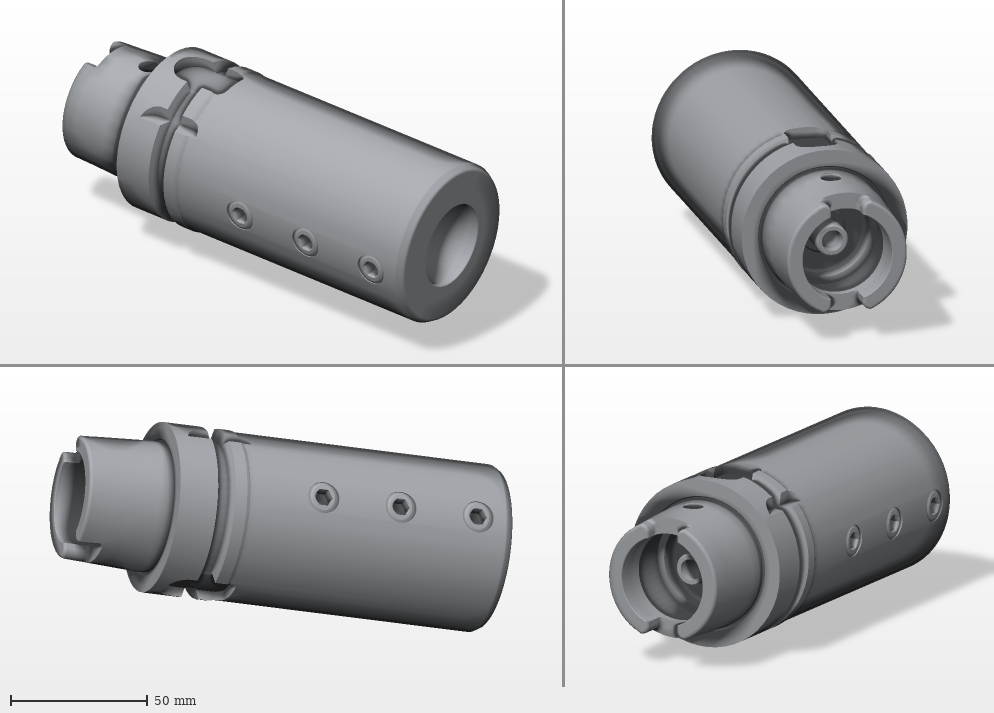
import cadquery as cq
import math


SHANK_END_X = -32.0
GAUGE_X = -6.3
GAUGE_DIA = 48.0
TAPER_RATIO = 0.1
END_ROUND = 1.2
RELIEF_DIA = 48.0
RELIEF_LENGTH = 1.9
RELIEF_RAMP = 1.3
RELIEF_BLEND = 2.0
FACE_RECESS_DIA = 50.7
FACE_RECESS_DEPTH = 0.5

FLANGE_DIA = 63.0
FLANGE_LENGTH = 26.0
FLANGE_RUNOUT = 1.3
GROOVE_DIA = 55.0
GROOVE_CENTER_X = 18.05
GROOVE_FLOOR_WIDTH = 3.9
GROOVE_MOUTH_WIDTH = 6.8
BODY_DIA = 62.0
BODY_END_X = 130.0
NOSE_LENGTH = 2.8
NOSE_ANGLE = 30.0
NOSE_ROUND = 1.2
NOSE_BLEND = 1.0

MOUTH_DIA = 34.0
MOUTH_CHAMFER = 0.25
MOUTH_END_X = -19.3
CLAMP_DIA = 40.0
CLAMP_END_X = 0.0
CLAMP_ANGLE = 60.0
CAVITY_FLOOR_X = 7.0
CAVITY_BASE_DIA = 34.5
CAVITY_FLOOR_ROUND = 1.3

NUT_DIA = 18.0
NUT_HEIGHT = 4.0
NUT_CHAMFER = 0.8
TUBE_DIA = 12.0
TUBE_TIP_X = -11.0
TUBE_CHAMFER = 0.6
COOLANT_DIA = 8.0

TOOL_BORE_DIA = 32.0
TOOL_BORE_DEPTH = 90.0
TOOL_BORE_CHAMFER = 0.2

SLOT_HALF_WIDTH = 6.0
SLOT_SHOULDER_Z = 20.8
SLOT_FLARE_RADIUS = 3.0
SLOT_FLOOR_ROUND = 1.3
UPPER_SLOT_DEPTH = 6.0
LOWER_SLOT_DEPTH = 9.7

KEYWAY_START_X = 4.8
KEYWAY_END_X = 30.3
KEYWAY_CORNER_RADIUS = 3.5
KEYWAY_FLOOR_Z = 26.5
UPPER_KEYWAY_WIDTH = 16.0
LOWER_KEYWAY_WIDTH = 18.0
KEYWAY_START_RADIUS = 7.5
NOTCH_OFFSET = 19.85

ACCESS_X = -8.9
ACCESS_DIA = 7.5
ACCESS_MOUTH_DIA = 8.5
ACCESS_MOUTH_RUNOUT = 1.0

SCREW_FIRST_X = 56.0
SCREW_PITCH = 30.0
SCREW_COUNT = 3
SCREW_DIA = 12.0
SCREW_FACE_DIA = 8.5
SCREW_BEVEL_DEPTH = 1.0
SOCKET_FLATS = 6.0
SOCKET_DEPTH = 5.0
SOCKET_TIP_ANGLE = 118.0

EDGE_BAND = 0.1
CLEAR = 10.0


def taper_radius(x):
    return (GAUGE_DIA + TAPER_RATIO * (x - GAUGE_X)) / 2


def revolve_about_axis(points):
    profile = cq.Workplane("XY").polyline(points).close()
    return profile.revolve(360, (0, 0, 0), (1, 0, 0))


def rod(diameter, start_x, end_x):
    return cq.Workplane("YZ", origin=(start_x, 0, 0)).circle(diameter / 2).extrude(end_x - start_x)


def shank():
    solid = revolve_about_axis([
        (SHANK_END_X, 0),
        (SHANK_END_X, taper_radius(SHANK_END_X)),
        (-RELIEF_LENGTH, taper_radius(-RELIEF_LENGTH)),
        (-RELIEF_LENGTH + RELIEF_RAMP, RELIEF_DIA / 2),
        (FACE_RECESS_DEPTH, RELIEF_DIA / 2),
        (FACE_RECESS_DEPTH, 0),
    ])
    ramp_edges = cq.selectors.BoxSelector(
        (-RELIEF_LENGTH - EDGE_BAND, -RELIEF_DIA, -RELIEF_DIA),
        (-RELIEF_LENGTH + RELIEF_RAMP + EDGE_BAND, RELIEF_DIA, RELIEF_DIA),
        boundingbox=True,
    )
    return solid.edges(ramp_edges).fillet(RELIEF_BLEND)


def flange_and_body():
    flange_r = FLANGE_DIA / 2
    body_r = BODY_DIA / 2
    groove_r = GROOVE_DIA / 2
    half_mouth = GROOVE_MOUTH_WIDTH / 2
    half_floor = GROOVE_FLOOR_WIDTH / 2
    recess_r = FACE_RECESS_DIA / 2
    nose_r = body_r - NOSE_LENGTH * math.tan(math.radians(NOSE_ANGLE))
    solid = revolve_about_axis([
        (FACE_RECESS_DEPTH, 0),
        (FACE_RECESS_DEPTH, recess_r - FACE_RECESS_DEPTH),
        (0, recess_r),
        (0, flange_r),
        (GROOVE_CENTER_X - half_mouth, flange_r),
        (GROOVE_CENTER_X - half_floor, groove_r),
        (GROOVE_CENTER_X + half_floor, groove_r),
        (GROOVE_CENTER_X + half_mouth, flange_r),
        (FLANGE_LENGTH, flange_r),
        (FLANGE_LENGTH + FLANGE_RUNOUT, body_r),
        (BODY_END_X - NOSE_LENGTH, body_r),
        (BODY_END_X, nose_r),
        (BODY_END_X, 0),
    ])
    nose_start_x = BODY_END_X - NOSE_LENGTH
    nose_start_edge = cq.selectors.BoxSelector(
        (nose_start_x - EDGE_BAND, -FLANGE_DIA, -FLANGE_DIA),
        (nose_start_x + EDGE_BAND, FLANGE_DIA, FLANGE_DIA),
        boundingbox=True,
    )
    solid = solid.edges(nose_start_edge).fillet(NOSE_BLEND)
    return solid.faces(">X").edges().fillet(NOSE_ROUND)


def drive_slot(depth, side):
    """Slot cutter with rounded floor and mouth; side is +1 for +Z and -1 for -Z."""
    flare_start_z = SLOT_SHOULDER_Z - SLOT_FLARE_RADIUS
    flare_y = SLOT_HALF_WIDTH + SLOT_FLARE_RADIUS
    arc_shift = SLOT_FLARE_RADIUS * math.sqrt(0.5)
    arc_mid = (flare_y - arc_shift, flare_start_z + arc_shift)
    outer_z = FLANGE_DIA / 2
    outer_y = outer_z
    cutter = (
        cq.Workplane("YZ", origin=(SHANK_END_X - CLEAR, 0, 0))
        .moveTo(-SLOT_HALF_WIDTH, 0)
        .lineTo(SLOT_HALF_WIDTH, 0)
        .lineTo(SLOT_HALF_WIDTH, flare_start_z)
        .threePointArc(arc_mid, (flare_y, SLOT_SHOULDER_Z))
        .lineTo(outer_y, SLOT_SHOULDER_Z)
        .lineTo(outer_y, outer_z)
        .lineTo(-outer_y, outer_z)
        .lineTo(-outer_y, SLOT_SHOULDER_Z)
        .lineTo(-flare_y, SLOT_SHOULDER_Z)
        .threePointArc((-arc_mid[0], arc_mid[1]), (-SLOT_HALF_WIDTH, flare_start_z))
        .close()
        .extrude(CLEAR + depth)
        .faces(">X").edges().fillet(SLOT_FLOOR_ROUND)
    )
    front_slab = cq.Workplane("XY").box(CLEAR, FLANGE_DIA, outer_z, centered=(False, True, False))
    cutter = cutter.union(front_slab.translate((SHANK_END_X - CLEAR, 0, 0)))
    mouth_edges = cq.selectors.BoxSelector(
        (SHANK_END_X - EDGE_BAND, -outer_y + EDGE_BAND, EDGE_BAND),
        (SHANK_END_X + EDGE_BAND, outer_y - EDGE_BAND, outer_z - EDGE_BAND),
    )
    cutter = cutter.edges(mouth_edges).fillet(END_ROUND)
    if side < 0:
        cutter = cutter.rotate((0, 0, 0), (1, 0, 0), 180)
    return cutter


def slotted_shank():
    solid = shank().faces("<X").edges().fillet(END_ROUND)
    solid = solid.cut(drive_slot(UPPER_SLOT_DEPTH, 1))
    return solid.cut(drive_slot(LOWER_SLOT_DEPTH, -1))


def shank_cavity():
    mouth_r = MOUTH_DIA / 2
    clamp_r = CLAMP_DIA / 2
    base_r = CAVITY_BASE_DIA / 2
    cone_length = (clamp_r - mouth_r) / math.tan(math.radians(CLAMP_ANGLE))
    solid = revolve_about_axis([
        (SHANK_END_X, 0),
        (SHANK_END_X, mouth_r + MOUTH_CHAMFER),
        (SHANK_END_X + MOUTH_CHAMFER, mouth_r),
        (MOUTH_END_X, mouth_r),
        (MOUTH_END_X + cone_length, clamp_r),
        (CLAMP_END_X, clamp_r),
        (CLAMP_END_X, base_r),
        (CAVITY_FLOOR_X, base_r),
        (CAVITY_FLOOR_X, 0),
    ])
    return solid.faces(">X").edges().fillet(CAVITY_FLOOR_ROUND)


def coolant_tube():
    nut = rod(NUT_DIA, CAVITY_FLOOR_X - NUT_HEIGHT, CAVITY_FLOOR_X).faces("<X").chamfer(NUT_CHAMFER)
    tube = rod(TUBE_DIA, TUBE_TIP_X, CAVITY_FLOOR_X).faces("<X").chamfer(TUBE_CHAMFER)
    return nut.union(tube)


def tool_bore():
    bore_r = TOOL_BORE_DIA / 2
    bottom_x = BODY_END_X - TOOL_BORE_DEPTH
    return revolve_about_axis([
        (bottom_x, 0),
        (bottom_x, bore_r),
        (BODY_END_X - TOOL_BORE_CHAMFER, bore_r),
        (BODY_END_X, bore_r + TOOL_BORE_CHAMFER),
        (BODY_END_X, 0),
    ])


def rounded_pocket(side_y, opposite_y, start_radius, floor_z):
    """Pocket cutter rising from floor_z, spanning the keyway length between two Y values."""
    length = KEYWAY_END_X - KEYWAY_START_X
    return (
        cq.Workplane("XY", origin=(KEYWAY_START_X, 0, floor_z))
        .moveTo(0, side_y)
        .lineTo(length, side_y)
        .lineTo(length, opposite_y)
        .lineTo(0, opposite_y)
        .close()
        .extrude(FLANGE_DIA / 2)
        .edges("|Z and <X").fillet(start_radius)
        .edges("|Z and >X").fillet(KEYWAY_CORNER_RADIUS)
    )


def keyway(width):
    return rounded_pocket(-width / 2, width / 2, KEYWAY_START_RADIUS, KEYWAY_FLOOR_Z)


def orientation_notch():
    return rounded_pocket(-FLANGE_DIA, -NOTCH_OFFSET, KEYWAY_START_RADIUS, NOTCH_OFFSET)


def access_hole():
    mouth_r = ACCESS_MOUTH_DIA / 2
    hole_r = ACCESS_DIA / 2
    surface_z = taper_radius(ACCESS_X)
    start_z = TUBE_DIA / 2
    profile = (
        cq.Workplane("XZ")
        .moveTo(0, start_z)
        .lineTo(hole_r, start_z)
        .lineTo(hole_r, surface_z - (mouth_r - hole_r))
        .lineTo(mouth_r, surface_z)
        .lineTo(mouth_r, surface_z + ACCESS_MOUTH_RUNOUT)
        .lineTo(0, surface_z + ACCESS_MOUTH_RUNOUT)
        .close()
    )
    return profile.revolve(360, (0, 0, 0), (0, 1, 0)).translate((ACCESS_X, 0, 0))


def screw_face_cutter(x):
    """Bevel around a flush screw end, plus its countersunk hexagon socket."""
    body_r = BODY_DIA / 2
    socket_r = SOCKET_FLATS / 2
    corner_dia = SOCKET_FLATS / math.cos(math.radians(30))
    tip = socket_r / math.tan(math.radians(SOCKET_TIP_ANGLE / 2))
    ring = (
        cq.Workplane("XY")
        .moveTo(SCREW_FACE_DIA / 2, -body_r)
        .lineTo(SCREW_DIA / 2, -body_r + SCREW_BEVEL_DEPTH)
        .lineTo(SCREW_DIA / 2, -body_r)
        .close()
        .revolve(360, (0, 0, 0), (0, 1, 0))
    )
    socket = (
        cq.Workplane("XZ", origin=(0, -body_r, 0))
        .polygon(6, corner_dia)
        .extrude(-SOCKET_DEPTH)
    )
    countersink = (
        cq.Workplane("XY", origin=(0, -body_r, 0))
        .moveTo(0, 0)
        .lineTo(corner_dia / 2, 0)
        .lineTo(0, corner_dia / 2)
        .close()
        .revolve(360, (0, 0, 0), (0, 1, 0))
    )
    drill_tip = (
        cq.Workplane("XY", origin=(0, -body_r + SOCKET_DEPTH, 0))
        .moveTo(0, 0)
        .lineTo(socket_r, 0)
        .lineTo(0, tip)
        .close()
        .revolve(360, (0, 0, 0), (0, 1, 0))
    )
    return ring.union(socket).union(countersink).union(drill_tip).translate((x, 0, 0))


result = slotted_shank().union(flange_and_body())
result = result.cut(shank_cavity()).union(coolant_tube())
result = result.cut(rod(COOLANT_DIA, TUBE_TIP_X, BODY_END_X)).cut(tool_bore())
result = result.cut(keyway(UPPER_KEYWAY_WIDTH))
result = result.cut(keyway(LOWER_KEYWAY_WIDTH).rotate((0, 0, 0), (1, 0, 0), 180))
result = result.cut(orientation_notch()).cut(access_hole())
for index in range(SCREW_COUNT):
    result = result.cut(screw_face_cutter(SCREW_FIRST_X + index * SCREW_PITCH))